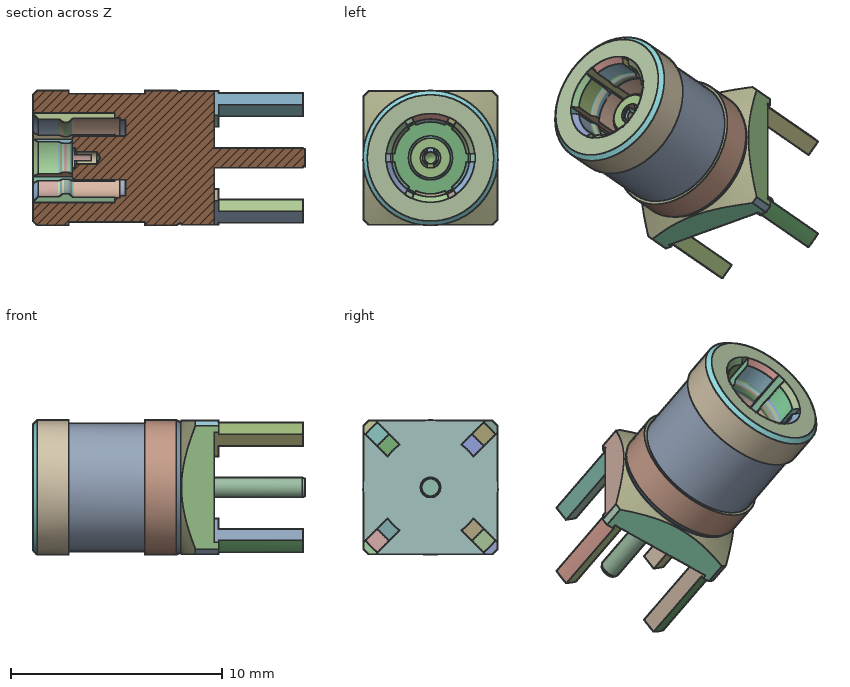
import cadquery as cq
import math


collar_radius = 3.2
waist_radius = 3.05
front_chamfer = 0.2
front_collar_end = 1.7
rear_collar_start = 5.3
shell_end = 7.0
rear_chamfer_length = 0.2
rear_chamfer_depth = 0.12

flange_half_width = 3.17
flange_corner_chamfer = 0.25
flange_back = 8.6
cone_start_radius = 3.11
cone_angle = 30

leg_width = 0.8
leg_inner_offset = 3.17
leg_outer_radius = 3.97
leg_end = 12.8
foot_inner_radius = 2.5
foot_end = 8.8

overall_length = 12.9
pin_radius = 0.48
pin_chamfer_length = 0.13
pin_chamfer_depth = 0.06

mouth_radius = 2.1
socket_radius = 1.85
ridge_start = 1.24
ridge_radius = 1.7
ridge_ramp = 0.19
ridge_flat = 0.28
ridge_fillet = 0.15
groove_radius = 1.88
groove_end = 4.13
floor_radius = 1.79
socket_floor = 4.39
slot_count = 6
slot_width = 0.37
slot_radius = 2.12
slot_end = 3.87

post_radius = 1.05
post_chamfer = 0.1
post_front = 1.86
contact_front = 1.99
contact_countersink_radius = 0.37
contact_hole_radius = 0.28
contact_hole_depth = 1.03
contact_slot_width = 0.3
contact_slot_depth = 0.77
drill_half_angle = 59


def revolve_profile(points):
    """Turn (x, radius) points into a solid of revolution about the X axis."""
    outline = [(points[0][0], 0)] + points
    end, end_radius = points[-1]
    if end_radius > 0:
        outline.append((end, 0))
    return cq.Workplane("XZ").polyline(outline).close().revolve(360, (0, 0, 0), (1, 0, 0))


def cylinder(radius, start, end):
    """Cylinder on the X axis."""
    return revolve_profile([(start, radius), (end, radius)])


def bar(start, end, y_start, y_end, width):
    """Box along X, spanning y_start to y_end, centred on Z = 0."""
    box = cq.Workplane("XY").box(end - start, y_end - y_start, width, centered=(False, False, True))
    return box.translate((start, y_start, 0))


def turn(shape, angle):
    """Rotate a shape about the X axis by an angle in degrees."""
    return shape.rotate((0, 0, 0), (1, 0, 0), angle)


def make_shell():
    """Round shell: two collars joined by a narrower waist."""
    return revolve_profile([
        (0, collar_radius - front_chamfer),
        (front_chamfer, collar_radius),
        (front_collar_end, collar_radius),
        (front_collar_end, waist_radius),
        (rear_collar_start, waist_radius),
        (rear_collar_start, collar_radius),
        (shell_end - rear_chamfer_length, collar_radius),
        (shell_end, collar_radius - rear_chamfer_depth),
    ])


def make_square_block():
    """Corner-chamfered square prism from the shell to the back of the feet."""
    side = 2 * flange_half_width
    start_plane = cq.Workplane("YZ").workplane(offset=shell_end)
    block = start_plane.rect(side, side).extrude(foot_end - shell_end)
    return block.edges("|X").chamfer(flange_corner_chamfer)


def make_flange(block):
    """Front part of the block, with a cone trimming its corners."""
    corner_radius = math.sqrt(2) * flange_half_width
    cone_length = (corner_radius - cone_start_radius) * math.tan(math.radians(cone_angle))
    envelope = revolve_profile([
        (shell_end, cone_start_radius),
        (shell_end + cone_length, corner_radius),
        (flange_back, corner_radius),
    ])
    return block.intersect(envelope)


def make_feet_and_legs(block):
    """Four corner feet standing off the flange, each carrying a leg."""
    corner_radius = math.sqrt(2) * flange_half_width
    foot = bar(flange_back, foot_end, 0, corner_radius, leg_width)
    foot = foot.cut(cylinder(foot_inner_radius, flange_back, foot_end))
    leg = bar(flange_back, leg_end, leg_inner_offset, corner_radius, leg_width)
    leg = leg.intersect(cylinder(leg_outer_radius, flange_back, leg_end))
    corners = cq.Workplane("XY")
    for angle in (45, 135, 225, 315):
        corners = corners.union(turn(foot, angle).intersect(block))
        corners = corners.union(turn(leg, angle))
    return corners


def make_pin():
    """Chamfered pin that starts inside the solid body and leaves it at the back."""
    return revolve_profile([
        (socket_floor, pin_radius),
        (overall_length - pin_chamfer_length, pin_radius),
        (overall_length, pin_radius - pin_chamfer_depth),
    ])


def make_socket():
    """Cavity with a filleted snap ridge and radial spring slots."""
    ridge_flat_start = ridge_start + ridge_ramp
    ridge_flat_end = ridge_flat_start + ridge_flat
    groove_start = ridge_flat_end + groove_radius - ridge_radius
    cavity = revolve_profile([
        (0, mouth_radius),
        (mouth_radius - socket_radius, socket_radius),
        (ridge_start, socket_radius),
        (ridge_flat_start, ridge_radius),
        (ridge_flat_end, ridge_radius),
        (groove_start, groove_radius),
        (groove_end, groove_radius),
        (groove_end, floor_radius),
        (socket_floor, floor_radius),
    ])
    ridge_zone = cq.selectors.BoxSelector(
        (ridge_start - ridge_fillet, -collar_radius, -collar_radius),
        (groove_start + ridge_fillet, collar_radius, collar_radius),
    )
    cavity = cavity.edges("%CIRCLE").edges(ridge_zone).fillet(ridge_fillet)
    slot = bar(0, slot_end, 0, collar_radius, slot_width)
    slot = slot.intersect(cylinder(slot_radius, 0, slot_end))
    for index in range(slot_count):
        cavity = cavity.union(turn(slot, index * 360 / slot_count))
    return cavity


def make_post():
    """Insulator post with a recessed, cross-slotted contact hole."""
    post = revolve_profile([
        (post_front, post_radius - post_chamfer),
        (post_front + post_chamfer, post_radius),
        (socket_floor, post_radius),
    ])
    countersink_depth = contact_countersink_radius - contact_hole_radius
    hole_end = contact_front + contact_hole_depth
    drill_tip = contact_hole_radius / math.tan(math.radians(drill_half_angle))
    hole = revolve_profile([
        (post_front, pin_radius),
        (contact_front, pin_radius),
        (contact_front, contact_countersink_radius),
        (contact_front + countersink_depth, contact_hole_radius),
        (hole_end, contact_hole_radius),
        (hole_end + drill_tip, 0),
    ])
    slot_back = contact_front + contact_slot_depth
    slot = bar(contact_front, slot_back, -pin_radius, pin_radius, contact_slot_width)
    slot = turn(slot, 90).intersect(cylinder(pin_radius, contact_front, slot_back))
    return post.cut(hole).cut(slot)


square_block = make_square_block()
body = make_shell().union(make_flange(square_block))
body = body.union(make_feet_and_legs(square_block)).union(make_pin())
result = body.cut(make_socket()).union(make_post())